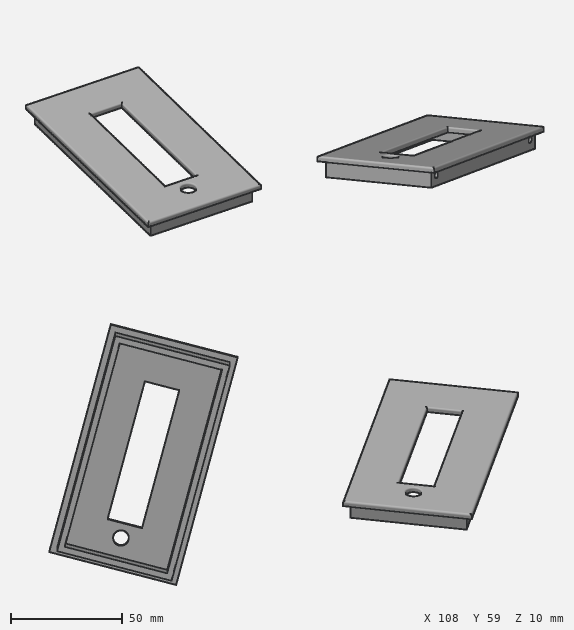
import cadquery as cq

length = 108.0
width = 59.0
height = 10.0
flange_thickness = 2.5
flange_overhang = 2.9
edge_radius = 1.0

wall_thickness = 2.8
plate_thickness = 2.5

window_length = 65.5
window_width = 16.0
button_diameter = 7.0
button_x = 39.5
rim_radius = 0.8

screw_diameter = 3.0
screw_x = 46.1
screw_z = height / 2

skirt_length = length - 2 * flange_overhang
skirt_width = width - 2 * flange_overhang
skirt_height = height - flange_thickness
cavity_length = skirt_length - 2 * wall_thickness
cavity_width = skirt_width - 2 * wall_thickness
cavity_height = height - plate_thickness


def block(size_x, size_y, size_z, base_z=0):
    """Box centred on the Z axis, standing on base_z."""
    return cq.Workplane("XY", origin=(0, 0, base_z)).rect(size_x, size_y).extrude(size_z)


def make_shell():
    """Flanged plate with a rectangular skirt, open at the bottom."""
    flange = block(length, width, flange_thickness, skirt_height)
    flange = flange.faces(">Z").edges().fillet(edge_radius)
    skirt = block(skirt_length, skirt_width, skirt_height)
    cavity = block(cavity_length, cavity_width, cavity_height)
    return flange.union(skirt).cut(cavity)


def cut_plate_openings(body):
    """Cut the window and button hole, then round their top rims."""
    window = block(window_length, window_width, height)
    button = cq.Workplane("XY").center(button_x, 0).circle(button_diameter / 2).extrude(height)
    body = body.cut(window).cut(button)
    rims = body.faces(">Z").wires(cq.selectors.BoxSelector(
        (-skirt_length / 2, -skirt_width / 2, 0),
        (skirt_length / 2, skirt_width / 2, 2 * height),
        boundingbox=True,
    ))
    return rims.edges().fillet(rim_radius)


def cut_screw_holes(body):
    """Drill a hole near each end, through both long skirt walls."""
    for x in (-screw_x, screw_x):
        drill = (
            cq.Workplane("XZ", origin=(x, 0, screw_z))
            .circle(screw_diameter / 2)
            .extrude(width / 2, both=True)
        )
        body = body.cut(drill)
    return body


result = cut_screw_holes(cut_plate_openings(make_shell()))